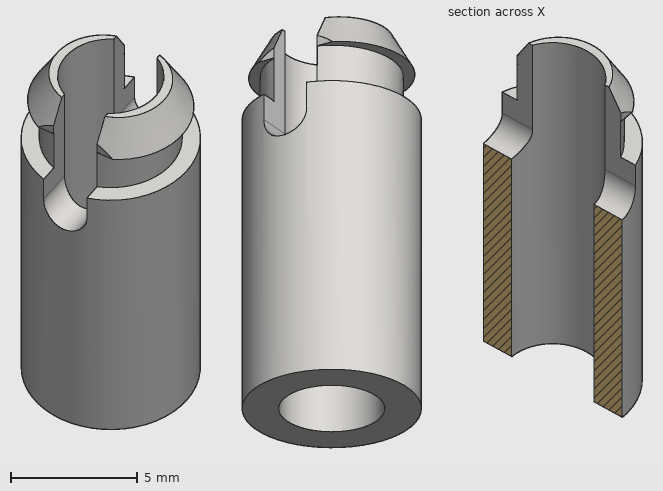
import cadquery as cq

total_height = 16.1
body_radius = 7.1 / 2
bore_radius = 4.2 / 2

neck_height = 1.9
barb_height = 1.5
neck_radius = 5.67 / 2
barb_axis_offset = 0.35
barb_base_radius = 6.7 / 2 - barb_axis_offset
barb_tip_radius = 5.0 / 2 - barb_axis_offset
barb_width_across_flats = 5.31

slot_width = 2.01
slot_depth_below_shoulder = 2.13

barb_base_z = total_height - barb_height
shoulder_z = barb_base_z - neck_height


def make_barb(side):
    """Tapered half ring on one side of the slot (side is -1 or 1), with flats facing along Y."""
    cone = (
        cq.Workplane("XZ")
        .moveTo(0, barb_base_z)
        .lineTo(barb_base_radius, barb_base_z)
        .lineTo(barb_tip_radius, total_height)
        .lineTo(0, total_height)
        .close()
        .revolve(360, (0, 0, 0), (0, 1, 0))
        .translate((side * barb_axis_offset, 0, 0))
    )
    half_block = (
        cq.Workplane("XY")
        .workplane(offset=barb_base_z)
        .center(side * body_radius / 2, 0)
        .rect(body_radius, barb_width_across_flats)
        .extrude(barb_height)
    )
    return cone.intersect(half_block)


def make_slot():
    """Round-bottomed cutter running through both walls along Y."""
    slot_radius = slot_width / 2
    arc_center_z = shoulder_z - slot_depth_below_shoulder + slot_radius
    return (
        cq.Workplane("XZ")
        .moveTo(-slot_radius, total_height)
        .lineTo(-slot_radius, arc_center_z)
        .threePointArc((0, arc_center_z - slot_radius), (slot_radius, arc_center_z))
        .lineTo(slot_radius, total_height)
        .close()
        .extrude(body_radius, both=True)
    )


body = cq.Workplane("XY").circle(body_radius).extrude(shoulder_z)
neck = cq.Workplane("XY").workplane(offset=shoulder_z).circle(neck_radius).extrude(neck_height)
bore = cq.Workplane("XY").circle(bore_radius).extrude(total_height)

result = body.union(neck).union(make_barb(-1)).union(make_barb(1)).cut(bore).cut(make_slot())